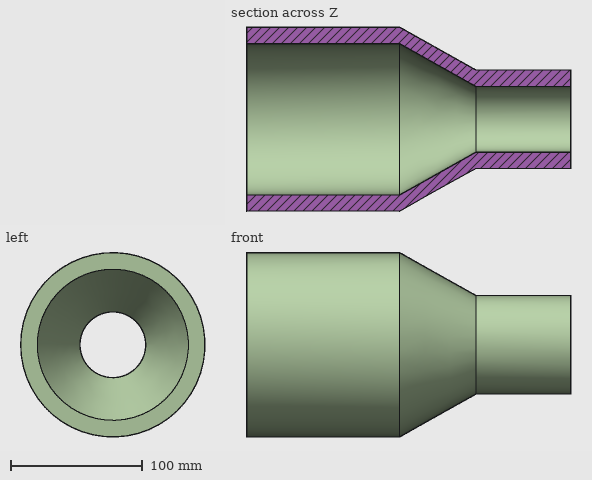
import cadquery as cq

total_length = 246.0
wide_length = 116.0
cone_length = 57.8
wide_outer_diameter = 140.0
wide_bore_diameter = 114.6
narrow_outer_diameter = 75.0
narrow_bore_diameter = 49.7

cone_end = wide_length + cone_length


def stepped_cone_solid(wide_diameter, narrow_diameter):
    """Wide cylinder, cone and narrow cylinder revolved about the X axis."""
    wide_radius = wide_diameter / 2
    narrow_radius = narrow_diameter / 2
    return (
        cq.Workplane("XY")
        .moveTo(0, 0)
        .lineTo(0, wide_radius)
        .lineTo(wide_length, wide_radius)
        .lineTo(cone_end, narrow_radius)
        .lineTo(total_length, narrow_radius)
        .lineTo(total_length, 0)
        .close()
        .revolve(360, (0, 0, 0), (1, 0, 0))
    )


outer_body = stepped_cone_solid(wide_outer_diameter, narrow_outer_diameter)
bore = stepped_cone_solid(wide_bore_diameter, narrow_bore_diameter)

result = outer_body.cut(bore)